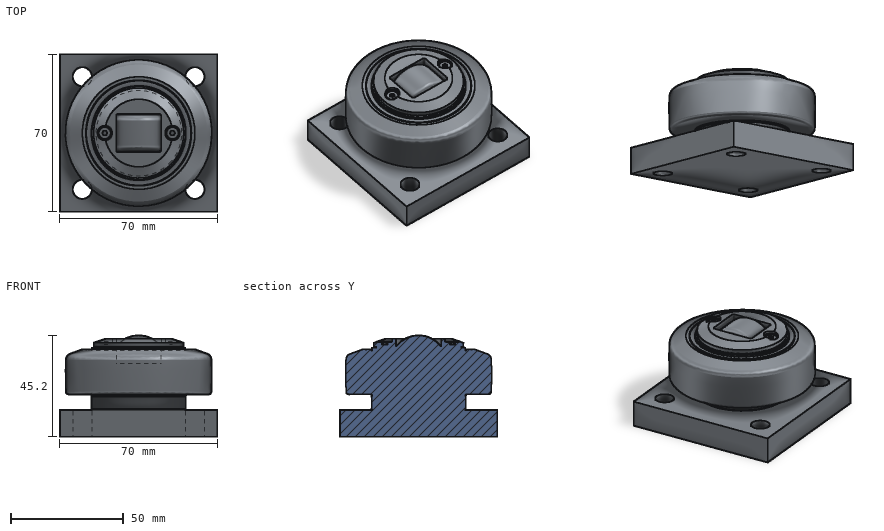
import cadquery as cq
import math

plate_side = 70.0
plate_thickness = 12.0
hole_diameter = 8.4
hole_spacing = 50.0

neck_diameter = 42.0
neck_top = 18.4
neck_bevel_height = 0.5
neck_bevel_diameter = 41.5

inner_race_diameter = 41.5
inner_race_bottom_diameter = 42.1
inner_race_top = 39.6

roller_diameter = 65.0
roller_crown = 0.2
roller_bottom = 18.75
roller_top = 38.9
roller_top_diameter = 50.0
roller_top_fillet = 3.0
roller_bottom_fillet = 1.5
cone_slope = math.tan(math.radians(20))

seal_outer_diameter = 47.0
seal_inner_diameter = 42.0
seal_chamfer = 0.3
seal_gap_depth = 0.5

cap_diameter = 40.0
cap_bottom = 39.9
cap_top = 43.6
cap_flat_diameter = 30.0
cap_undercut_diameter = 38.0

side_roller_diameter = 25.0
side_roller_crown = 0.15
side_roller_width = 16.0
side_roller_fillet = 2.5
side_roller_top = 45.15
side_roller_axis = side_roller_top - side_roller_diameter / 2
pocket_length = 20.0
pocket_width = 17.0
pocket_corner = 1.0
pocket_floor = side_roller_axis

screw_spacing = cap_flat_diameter
screw_recess_diameter = 6.5
screw_head_diameter = 5.3
screw_recess_depth = 1.2
screw_cone_depth = 0.35
socket_across_flats = 2.0
socket_depth = 1.0


def disc(diameter, bottom, top):
    """Upright cylinder on the Z axis between two heights."""
    return cq.Workplane("XY").workplane(offset=bottom).circle(diameter / 2).extrude(top - bottom)


def cone_drop(diameter, flat_diameter):
    """Height lost by a shallow cone between a central flat and the rim."""
    return (diameter - flat_diameter) / 2 * cone_slope


def make_plate():
    plate = cq.Workplane("XY").box(plate_side, plate_side, plate_thickness, centered=(True, True, False))
    holes = (
        cq.Workplane("XY")
        .rect(hole_spacing, hole_spacing, forConstruction=True)
        .vertices()
        .circle(hole_diameter / 2)
        .extrude(plate_thickness)
    )
    return plate.cut(holes)


def make_neck():
    """Round neck, bevelled at both ends."""
    radius = neck_diameter / 2
    bevel_radius = neck_bevel_diameter / 2
    profile = [
        (0, plate_thickness),
        (bevel_radius, plate_thickness),
        (radius, plate_thickness + neck_bevel_height),
        (radius, neck_top - neck_bevel_height),
        (bevel_radius, neck_top),
        (0, neck_top),
    ]
    return cq.Workplane("XZ").polyline(profile).close().revolve(360, (0, 0), (0, 1))


def make_main_roller():
    """Coned roller with a slightly crowned wall and rounded rims."""
    crown_radius = roller_diameter / 2
    rim_radius = crown_radius - roller_crown
    cone_base = roller_top - cone_drop(2 * rim_radius, roller_top_diameter)
    body = (
        cq.Workplane("XZ")
        .moveTo(0, roller_bottom)
        .lineTo(rim_radius, roller_bottom)
        .threePointArc((crown_radius, (roller_bottom + cone_base) / 2), (rim_radius, cone_base))
        .lineTo(roller_top_diameter / 2, roller_top)
        .lineTo(0, roller_top)
        .close()
        .revolve(360, (0, 0), (0, 1))
    )
    body = body.edges(">>Z[2]").fillet(roller_top_fillet)
    return body.edges("<Z").fillet(roller_bottom_fillet)


def make_seal_grooves():
    """Bevelled outer edge of the seal ring and the gap around the inner race."""
    outer = seal_outer_diameter / 2
    bevel = [
        (outer, roller_top),
        (outer, roller_top - seal_chamfer),
        (outer - seal_chamfer, roller_top),
    ]
    bevel_groove = cq.Workplane("XZ").polyline(bevel).close().revolve(360, (0, 0), (0, 1))
    gap_bottom = roller_top - seal_gap_depth
    gap = disc(seal_inner_diameter, gap_bottom, roller_top)
    gap = gap.cut(disc(inner_race_diameter, gap_bottom, roller_top))
    return bevel_groove.union(gap)


def make_inner_race():
    lower_lip = disc(inner_race_bottom_diameter, neck_top, roller_bottom)
    return disc(inner_race_diameter, neck_top, inner_race_top).union(lower_lip)


def make_cap():
    """Coned cap, undercut where it meets the inner race."""
    radius = cap_diameter / 2
    undercut_radius = cap_undercut_diameter / 2
    profile = [
        (0, inner_race_top),
        (undercut_radius, inner_race_top),
        (undercut_radius, cap_bottom),
        (radius, cap_bottom),
        (radius, cap_top - cone_drop(cap_diameter, cap_flat_diameter)),
        (cap_flat_diameter / 2, cap_top),
        (0, cap_top),
    ]
    return cq.Workplane("XZ").polyline(profile).close().revolve(360, (0, 0), (0, 1))


def make_pocket():
    return (
        cq.Workplane("XY")
        .workplane(offset=pocket_floor)
        .rect(pocket_length, pocket_width)
        .extrude(cap_top - pocket_floor)
        .edges("|Z")
        .fillet(pocket_corner)
    )


def make_side_roller():
    """Upper half of the crowned side roller, with its axis along Y."""
    crown_radius = side_roller_diameter / 2
    rim_radius = crown_radius - side_roller_crown
    half_width = side_roller_width / 2
    roller = (
        cq.Workplane("YZ", origin=(0, 0, side_roller_axis))
        .moveTo(-half_width, 0)
        .lineTo(-half_width, rim_radius)
        .threePointArc((0, crown_radius), (half_width, rim_radius))
        .lineTo(half_width, 0)
        .close()
        .revolve(360, (0, 0), (1, 0))
        .edges("<Y or >Y")
        .fillet(side_roller_fillet)
    )
    upper_half = disc(roller_diameter, side_roller_axis, side_roller_top)
    return roller.intersect(upper_half)


def make_screw_recess(x):
    """Round recess narrowing to the screw head, with a hexagon socket below."""
    recess_radius = screw_recess_diameter / 2
    cone_top = cap_top - screw_recess_depth
    head_top = cone_top - screw_cone_depth
    profile = [
        (0, head_top),
        (screw_head_diameter / 2, head_top),
        (recess_radius, cone_top),
        (recess_radius, cap_top),
        (0, cap_top),
    ]
    recess = cq.Workplane("XZ").polyline(profile).close().revolve(360, (0, 0), (0, 1))
    socket_across_corners = socket_across_flats / math.cos(math.radians(30))
    socket = (
        cq.Workplane("XY")
        .workplane(offset=head_top)
        .polygon(6, socket_across_corners)
        .extrude(-socket_depth)
    )
    return recess.union(socket).translate((x, 0, 0))


result = make_plate().union(make_neck()).union(make_main_roller()).cut(make_seal_grooves())
result = result.union(make_inner_race())
result = result.union(make_cap())
for screw_x in (-screw_spacing / 2, screw_spacing / 2):
    result = result.cut(make_screw_recess(screw_x))
result = result.cut(make_pocket()).union(make_side_roller())